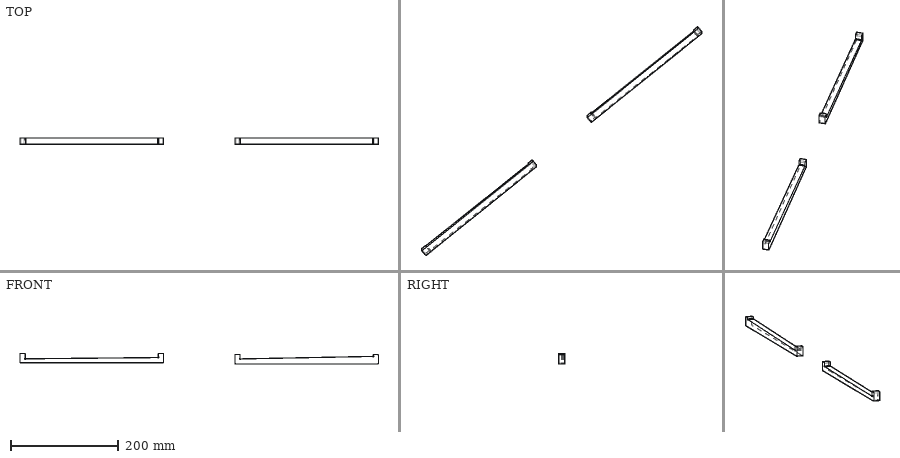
import cadquery as cq

OVERALL_LENGTH = 669.19
OVERALL_HEIGHT = 20.12
BAR_LENGTH = 268.25
BAR_HEIGHT = 18.0
BAR_WIDTH = 12.0

LEFT_HOOK_LENGTH = 10.0
RIGHT_HOOK_LENGTH = 10.25
CORNER_RADIUS = 2.0
RELIEF_RADIUS = 1.0

GENTLE_FLOOR_HEIGHT = 9.05
STEEP_FLOOR_HEIGHT = 12.13
GENTLE_SLOPE = 0.0095
STEEP_SLOPE = 2 * GENTLE_SLOPE

GENTLE_BAR_ORIGIN = (0, 0, OVERALL_HEIGHT - BAR_HEIGHT)
STEEP_BAR_ORIGIN = (OVERALL_LENGTH - BAR_LENGTH, 0, 0)


def side_plane():
    """XZ sketch plane at the middle of the bar's width."""
    return cq.Workplane("XZ")


def hooked_bar(floor_height, slope):
    """Bar with a hook at each end, its lower left corner at the origin and centred on Y."""
    left_wall = LEFT_HOOK_LENGTH
    right_wall = BAR_LENGTH - RIGHT_HOOK_LENGTH
    left_floor = floor_height + slope * (left_wall - BAR_LENGTH / 2)
    right_floor = floor_height + slope * (right_wall - BAR_LENGTH / 2)

    blank = (
        side_plane()
        .rect(BAR_LENGTH, BAR_HEIGHT, centered=False)
        .extrude(BAR_WIDTH / 2, both=True)
    )
    channel = (
        side_plane()
        .moveTo(left_wall, left_floor)
        .lineTo(right_wall, right_floor)
        .lineTo(right_wall, BAR_HEIGHT)
        .lineTo(left_wall, BAR_HEIGHT)
        .close()
        .extrude(BAR_WIDTH / 2, both=True)
    )
    reliefs = (
        side_plane()
        .pushPoints([(left_wall, left_floor), (right_wall, right_floor)])
        .circle(RELIEF_RADIUS)
        .extrude(BAR_WIDTH / 2, both=True)
    )

    hooked = blank.cut(channel)
    hook_top_corners = hooked.faces(">Z").edges("|Y")
    bottom_corners = hooked.faces("<Z").edges("|Y")
    rounded = hook_top_corners.add(bottom_corners).fillet(CORNER_RADIUS)
    return rounded.cut(reliefs)


gentle_bar = hooked_bar(GENTLE_FLOOR_HEIGHT, GENTLE_SLOPE).translate(GENTLE_BAR_ORIGIN)
steep_bar = hooked_bar(STEEP_FLOOR_HEIGHT, STEEP_SLOPE).translate(STEEP_BAR_ORIGIN)

result = cq.Compound.makeCompound([gentle_bar.val(), steep_bar.val()])